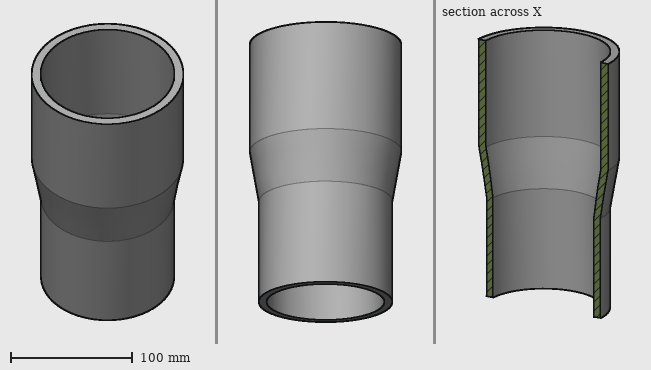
import cadquery as cq

total_height = 222.0
spigot_length = 87.0
socket_length = 92.0

socket_outer_diameter = 125.0
socket_wall = 7.4

spigot_outer_diameter = 110.0
spigot_wall = 6.6

taper_bottom = spigot_length
taper_top = total_height - socket_length


def reducer_body(lower_radius, upper_radius):
    """Solid of revolution about Z: straight lower end, conical taper, straight upper end."""
    return (
        cq.Workplane("XZ")
        .moveTo(0, 0)
        .lineTo(lower_radius, 0)
        .lineTo(lower_radius, taper_bottom)
        .lineTo(upper_radius, taper_top)
        .lineTo(upper_radius, total_height)
        .lineTo(0, total_height)
        .close()
        .revolve(360, (0, 0, 0), (0, 1, 0))
        .rotate((0, 0, 0), (0, 0, 1), 180)
    )


spigot_outer_radius = spigot_outer_diameter / 2
socket_outer_radius = socket_outer_diameter / 2

outer_body = reducer_body(spigot_outer_radius, socket_outer_radius)
bore = reducer_body(spigot_outer_radius - spigot_wall, socket_outer_radius - socket_wall)

result = outer_body.cut(bore)